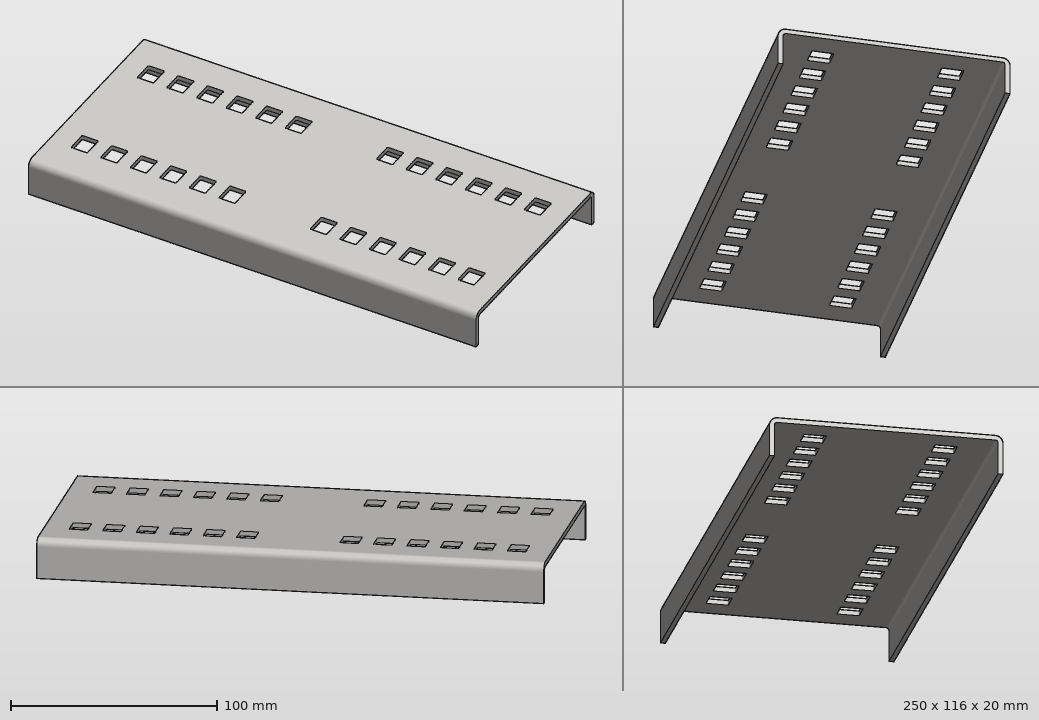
import cadquery as cq

length = 250.0
width = 116.0
height = 20.0

sheet_thickness = 2.5
inner_bend_radius = 1.5
outer_bend_radius = inner_bend_radius + sheet_thickness

slot_length = 9.0
slot_width = 11.0
slot_corner_radius = 0.5
slots_per_group = 6
slot_pitch = 16.5
group_gap = 51.0
row_spacing = 65.0


def make_channel():
    """Bent channel, open downward, centered on X and Y with its legs standing on Z = 0."""
    outside = (
        cq.Workplane("XY")
        .box(length, width, height, centered=(True, True, False))
        .edges("|X and >Z")
        .fillet(outer_bend_radius)
    )
    inside = (
        cq.Workplane("XY")
        .box(
            length,
            width - 2 * sheet_thickness,
            height - sheet_thickness,
            centered=(True, True, False),
        )
        .edges("|X and >Z")
        .fillet(inner_bend_radius)
    )
    return outside.cut(inside)


def slot_centers():
    """Centers of all slots, mirrored about both the X and Y middle planes."""
    centers = []
    for index in range(slots_per_group):
        x = group_gap / 2 + index * slot_pitch
        for x_side in (-1, 1):
            for y_side in (-1, 1):
                centers.append((x_side * x, y_side * row_spacing / 2))
    return centers


def cut_slots(channel):
    """Cut the slots straight through the web."""
    cutters = (
        cq.Workplane("XY")
        .pushPoints(slot_centers())
        .rect(slot_length, slot_width)
        .extrude(height)
        .edges("|Z")
        .fillet(slot_corner_radius)
    )
    return channel.cut(cutters)


result = cut_slots(make_channel())